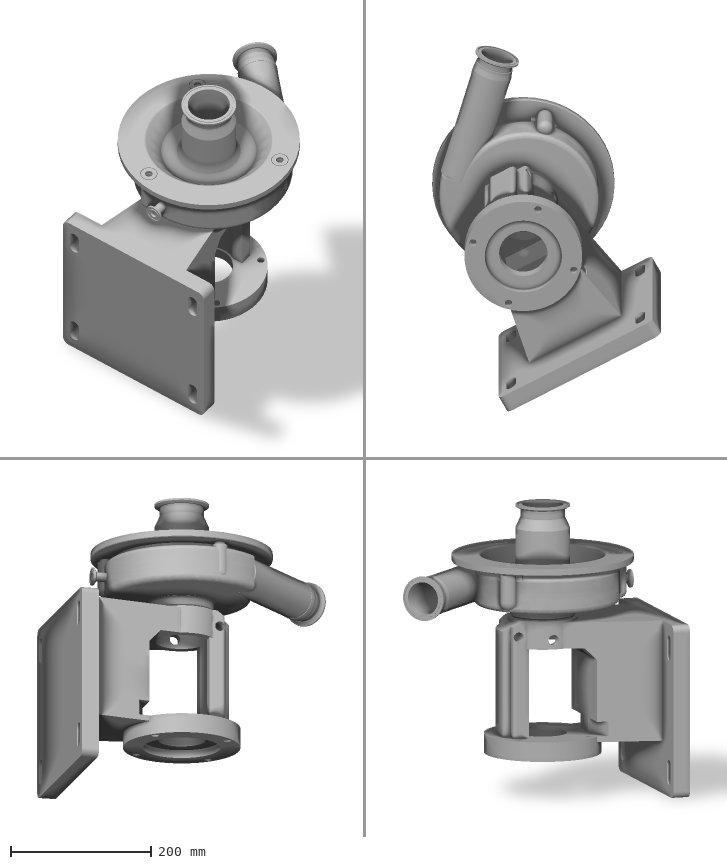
import cadquery as cq
import math

TOP_Z = 415.0
SEAM_ANGLE = 225.0
DISCHARGE_SEAM_ANGLE = -90.0
OVERLAP = 1.0

PLATE_SIDE = 250.0
PLATE_THICKNESS = 25.0
PLATE_BACK_Y = -180.0
PLATE_FRONT_Y = PLATE_BACK_Y + PLATE_THICKNESS
PLATE_CORNER_RADIUS = 10.0
SLOT_WIDTH = 16.0
SLOT_HEIGHT = 36.0
SLOT_PITCH_X = 210.0
SLOT_PITCH_Z = 180.0

ADAPTER_RADIUS = 50.5
ADAPTER_BOTTOM_Z = 212.5
ADAPTER_TOP_Z = 253.0
CAVITY_RADIUS = 37.5
CAVITY_TOP_Z = 243.0
SIDE_HOLE_DIAMETER = 15.0
SIDE_HOLE_Z = 226.0

RING_RADIUS = 84.0
RING_BORE_RADIUS = 34.5
SPIGOT_RADIUS = 55.0
SPIGOT_DEPTH = 11.5
RING_BOTTOM_Z = 56.0
RING_TOP_Z = 84.0
RING_BOLT_RADIUS = 75.0
RING_BOLT_DIAMETER = 10.5
RING_BOLT_START_ANGLE = 45.0
RING_BOLT_COUNT = 4

WEB_ROOT_HALF_WIDTH = 75.0
WEB_TIP_HALF_WIDTH = 48.5
WEB_TIP_Y = -14.0
WEB_INNER_Y = -62.5
WEB_CHAMFER = 17.5
WEB_BOTTOM_Z = 76.0
NOTCH_DEPTH_Y = 16.2
NOTCH_HEIGHT = 21.5
NOTCH_REACH_X = 43.0

LEG_HALF_WIDTH = 35.0
LEG_FRONT_Y = 32.0
LEG_SHOULDER_Y = 55.5
LEG_BACK_Y = 66.0
LEG_RIB_HALF_WIDTH = 20.0
LEG_CORNER_RADIUS = 5.5
LEG_CHAMFER_Y = 22.5
LEG_CHAMFER_Z = 17.0
LEG_HOLE_DIAMETER = 14.0
LEG_HOLE_Y = 47.3
LEG_HOLE_Z = 230.0

VOLUTE_START_ANGLE = 45.0
VOLUTE_START_RADIUS = 96.5
VOLUTE_GROWTH = 24.0
VOLUTE_STEPS = 24
CASING_TOP_Z = 325.5
CASING_BOTTOM_Z = 274.5
CASING_TOP_FILLET = 6.5
CASING_BOTTOM_FILLET = 7.5
CONE_OUTER_RADIUS = 125.0
HUB_RADIUS = 46.5
HUB_FLARE = 3.5
HUB_TOP_Z = 268.0
HUB_CHAMFER = 2.0
HUB_CHAMFER_Z = 256.2
NECK_RADIUS = 97.0

COVER_RADIUS = 130.0
COVER_THICKNESS = 10.0
COVER_TOP_Z = 343.0
COVER_BOTTOM_Z = COVER_TOP_Z - COVER_THICKNESS
COVER_EDGE_CHAMFER = 1.0
FUNNEL_RADIUS = 91.0
FUNNEL_FLOOR_RADIUS = 68.0
FUNNEL_DEPTH = 22.5
FUNNEL_RIM_WIDTH = 1.8

SUCTION_RADIUS = 39.0
SUCTION_NECK_RADIUS = 31.8
SUCTION_BORE_RADIUS = 30.0
SUCTION_BORE_BOTTOM_Z = 283.0
SUCTION_TAPER_BOTTOM_Z = 381.5
SUCTION_TAPER_TOP_Z = 397.0
SUCTION_ROOT_WIDTH = 6.3
SUCTION_ROOT_HEIGHT = 12.0

FERRULE_RIM = 2.8
FERRULE_TAPER = 2.7
FERRULE_STEP = 4.5
GROOVE_WIDTH = 2.0
GROOVE_DEPTH = 1.0

PORT_Z = 300.0
DISCHARGE_OFFSET = 94.5
DISCHARGE_END = 191.5
DISCHARGE_RADIUS = 28.0
DISCHARGE_BORE_RADIUS = 24.0
DISCHARGE_FLANGE_RADIUS = 32.0
DISCHARGE_NECK_RADIUS = 25.4
SLEEVE_RADIUS = 28.5
BEAD_RADIUS = 27.0
SLEEVE_START = 158.0
SLEEVE_END = 165.0
SLEEVE_TAPER_END = 173.0
BEAD_END = 177.0

DRAIN_END_Y = -132.7
DRAIN_RADIUS = 6.7
DRAIN_BORE_RADIUS = 5.2
DRAIN_FLANGE_RADIUS = 13.0
DRAIN_BORE_DEPTH = 35.0

SCREW_CIRCLE_RADIUS = 109.0
SCREW_ANGLES = (15.0, 135.0, 255.0)
SCREW_HEAD_RADIUS = 11.5
SCREW_GAP = 0.8
SCREW_GAP_DEPTH = 3.0
SOCKET_RADIUS = 5.5
SOCKET_DEPTH = 4.0
SOCKET_TIP_RADIUS = 0.5
SOCKET_TIP_DEPTH = 3.5
BOSS_RADIUS = 11.0
BOSS_BOTTOM_Z = 278.0
BOSS_TOP_Z = 329.3
BOSS_END_FILLET = 10.8
SPACER_RADIUS = 8.0
PAD_RADIUS = 105.0
PAD_HALF_ANGLE = 10.3


def cylinder(radius, bottom, top):
    return cq.Workplane("XY").workplane(offset=bottom).circle(radius).extrude(top - bottom)


def revolved(outline, seam_angle=SEAM_ANGLE):
    """Turn an (r, z) outline about Z, with its seam at the seam angle."""
    body = outline.close().revolve(360, (0, 0, 0), (0, 1, 0))
    return body.rotate((0, 0, 0), (0, 0, 1), seam_angle)


def ferrule_points(flange_radius, neck_radius, end):
    """Outline of a clamp ferrule from the neck out to its end face, ending on the axis."""
    rim_start = end - FERRULE_RIM
    groove_outer = flange_radius - FERRULE_STEP / 2
    groove_inner = groove_outer - GROOVE_WIDTH
    return [
        (neck_radius, rim_start - FERRULE_TAPER),
        (flange_radius - FERRULE_STEP, rim_start - FERRULE_TAPER),
        (flange_radius, rim_start),
        (flange_radius, end),
        (groove_outer, end),
        (groove_outer, end - GROOVE_DEPTH),
        (groove_inner, end - GROOVE_DEPTH),
        (groove_inner, end),
        (0, end),
    ]


def make_plate():
    plate = (
        cq.Workplane("XZ", origin=(0, PLATE_FRONT_Y, PLATE_SIDE / 2))
        .rect(PLATE_SIDE, PLATE_SIDE)
        .extrude(PLATE_THICKNESS)
        .edges("|Y")
        .fillet(PLATE_CORNER_RADIUS)
    )
    slots = (
        cq.Workplane("XZ", origin=(0, PLATE_FRONT_Y, PLATE_SIDE / 2))
        .rect(SLOT_PITCH_X, SLOT_PITCH_Z, forConstruction=True)
        .vertices()
        .slot2D(SLOT_HEIGHT, SLOT_WIDTH, 90)
        .extrude(PLATE_THICKNESS)
    )
    return plate.cut(slots)


def web_half_width(y):
    slope = (WEB_ROOT_HALF_WIDTH - WEB_TIP_HALF_WIDTH) / (WEB_TIP_Y - PLATE_FRONT_Y)
    return WEB_TIP_HALF_WIDTH + slope * (WEB_TIP_Y - y)


def make_web():
    plan = (
        cq.Workplane("XY")
        .moveTo(-WEB_ROOT_HALF_WIDTH, PLATE_FRONT_Y)
        .lineTo(WEB_ROOT_HALF_WIDTH, PLATE_FRONT_Y)
        .lineTo(WEB_TIP_HALF_WIDTH, WEB_TIP_Y)
        .lineTo(-WEB_TIP_HALF_WIDTH, WEB_TIP_Y)
        .close()
        .extrude(PLATE_SIDE)
    )
    profile = (
        cq.Workplane("YZ")
        .moveTo(PLATE_FRONT_Y, WEB_BOTTOM_Z)
        .lineTo(WEB_INNER_Y, WEB_BOTTOM_Z)
        .lineTo(WEB_INNER_Y, ADAPTER_BOTTOM_Z - WEB_CHAMFER)
        .lineTo(WEB_INNER_Y + WEB_CHAMFER, ADAPTER_BOTTOM_Z)
        .lineTo(WEB_TIP_Y, ADAPTER_BOTTOM_Z)
        .lineTo(WEB_TIP_Y, PLATE_SIDE)
        .lineTo(PLATE_FRONT_Y, PLATE_SIDE)
        .close()
        .extrude(WEB_ROOT_HALF_WIDTH, both=True)
    )
    return plan.intersect(profile)


def make_notches():
    """Clearances above the ring for the two bolts beside the web."""
    back_y = WEB_INNER_Y - NOTCH_DEPTH_Y
    back_x = web_half_width(back_y)
    notch = (
        cq.Workplane("XY", origin=(0, 0, RING_TOP_Z))
        .moveTo(-back_x, back_y)
        .lineTo(-back_x, WEB_INNER_Y)
        .lineTo(-back_x + NOTCH_REACH_X, WEB_INNER_Y)
        .close()
        .extrude(NOTCH_HEIGHT)
    )
    return notch.union(notch.mirror("YZ"))


def make_leg():
    leg = (
        cq.Workplane("XY", origin=(0, 0, RING_TOP_Z - OVERLAP))
        .moveTo(-LEG_HALF_WIDTH, LEG_FRONT_Y)
        .lineTo(LEG_HALF_WIDTH, LEG_FRONT_Y)
        .lineTo(LEG_HALF_WIDTH, LEG_SHOULDER_Y)
        .lineTo(LEG_RIB_HALF_WIDTH, LEG_SHOULDER_Y)
        .lineTo(LEG_RIB_HALF_WIDTH, LEG_BACK_Y)
        .lineTo(-LEG_RIB_HALF_WIDTH, LEG_BACK_Y)
        .lineTo(-LEG_RIB_HALF_WIDTH, LEG_SHOULDER_Y)
        .lineTo(-LEG_HALF_WIDTH, LEG_SHOULDER_Y)
        .close()
        .extrude(ADAPTER_TOP_Z - RING_TOP_Z + OVERLAP)
    )
    behind_shoulder = cq.selectors.BoxSelector(
        (-LEG_HALF_WIDTH - OVERLAP, LEG_SHOULDER_Y - OVERLAP, 0),
        (LEG_HALF_WIDTH + OVERLAP, LEG_BACK_Y + OVERLAP, ADAPTER_TOP_Z),
    )
    inner_corners = cq.selectors.BoxSelector(
        (-LEG_RIB_HALF_WIDTH - OVERLAP, LEG_SHOULDER_Y - OVERLAP, 0),
        (LEG_RIB_HALF_WIDTH + OVERLAP, LEG_SHOULDER_Y + OVERLAP, ADAPTER_TOP_Z),
    )
    leg = leg.edges("|Z").edges(behind_shoulder - inner_corners).fillet(LEG_CORNER_RADIUS)
    corner = (
        cq.Workplane("YZ")
        .moveTo(LEG_BACK_Y, ADAPTER_TOP_Z)
        .lineTo(LEG_BACK_Y - LEG_CHAMFER_Y, ADAPTER_TOP_Z)
        .lineTo(LEG_BACK_Y, ADAPTER_TOP_Z - LEG_CHAMFER_Z)
        .close()
        .extrude(LEG_HALF_WIDTH, both=True)
    )
    return leg.cut(corner)


def make_bracket():
    ring = cylinder(RING_RADIUS, RING_BOTTOM_Z, RING_TOP_Z)
    adapter = cylinder(ADAPTER_RADIUS, ADAPTER_BOTTOM_Z, ADAPTER_TOP_Z)
    body = make_plate().union(make_web()).union(make_leg()).union(adapter).union(ring)
    cavity = cylinder(CAVITY_RADIUS, RING_TOP_Z, CAVITY_TOP_Z)
    ring_bore = cylinder(RING_BORE_RADIUS, RING_BOTTOM_Z, RING_TOP_Z)
    spigot = cylinder(SPIGOT_RADIUS, RING_BOTTOM_Z, RING_BOTTOM_Z + SPIGOT_DEPTH)
    ring_bolts = (
        cq.Workplane("XY", origin=(0, 0, RING_BOTTOM_Z))
        .polarArray(RING_BOLT_RADIUS, RING_BOLT_START_ANGLE, 360, RING_BOLT_COUNT)
        .circle(RING_BOLT_DIAMETER / 2)
        .extrude(RING_TOP_Z - RING_BOTTOM_Z)
    )
    side_hole = (
        cq.Workplane("YZ", origin=(0, 0, SIDE_HOLE_Z))
        .circle(SIDE_HOLE_DIAMETER / 2)
        .extrude(-ADAPTER_RADIUS)
    )
    leg_hole = (
        cq.Workplane("YZ", origin=(0, LEG_HOLE_Y, LEG_HOLE_Z))
        .circle(LEG_HOLE_DIAMETER / 2)
        .extrude(LEG_HALF_WIDTH, both=True)
    )
    for opening in (cavity, ring_bore, spigot, ring_bolts, side_hole, leg_hole, make_notches()):
        body = body.cut(opening)
    return body


def volute_point(turn):
    """Point of the spiral outline; turn runs from 0 to 1 over one revolution."""
    angle = math.radians(VOLUTE_START_ANGLE + 360 * turn)
    radius = VOLUTE_START_RADIUS + VOLUTE_GROWTH * turn
    return (radius * math.cos(angle), radius * math.sin(angle))


def make_spiral(bottom, top):
    later_points = [volute_point(step / VOLUTE_STEPS) for step in range(1, VOLUTE_STEPS + 1)]
    return (
        cq.Workplane("XY", origin=(0, 0, bottom))
        .moveTo(*volute_point(0))
        .spline(later_points, includeCurrent=True)
        .close()
        .extrude(top - bottom)
    )


def make_casing():
    spiral = make_spiral(ADAPTER_TOP_Z, CASING_TOP_Z)
    bowl = revolved(
        cq.Workplane("XZ")
        .moveTo(0, HUB_TOP_Z)
        .lineTo(HUB_RADIUS, HUB_TOP_Z)
        .lineTo(CONE_OUTER_RADIUS, CASING_BOTTOM_Z)
        .lineTo(CONE_OUTER_RADIUS, CASING_TOP_Z)
        .lineTo(0, CASING_TOP_Z)
    )
    casing = spiral.intersect(bowl)
    casing = casing.faces(">Z").edges("%BSPLINE").fillet(CASING_TOP_FILLET)
    lower_rim = cq.selectors.BoxSelector(
        (-CONE_OUTER_RADIUS, -CONE_OUTER_RADIUS, HUB_TOP_Z + OVERLAP),
        (CONE_OUTER_RADIUS, CONE_OUTER_RADIUS, CASING_BOTTOM_Z + OVERLAP),
    )
    casing = casing.edges("%BSPLINE").edges(lower_rim).fillet(CASING_BOTTOM_FILLET)
    hub = revolved(
        cq.Workplane("XZ")
        .moveTo(0, ADAPTER_TOP_Z)
        .lineTo(HUB_RADIUS - HUB_CHAMFER, ADAPTER_TOP_Z)
        .lineTo(HUB_RADIUS - HUB_CHAMFER, HUB_CHAMFER_Z - HUB_CHAMFER)
        .lineTo(HUB_RADIUS, HUB_CHAMFER_Z)
        .lineTo(HUB_RADIUS, HUB_TOP_Z - HUB_FLARE)
        .radiusArc((HUB_RADIUS + HUB_FLARE, HUB_TOP_Z), HUB_FLARE)
        .lineTo(HUB_RADIUS + HUB_FLARE, HUB_TOP_Z + OVERLAP)
        .lineTo(0, HUB_TOP_Z + OVERLAP)
    )
    return casing.union(hub).union(cylinder(NECK_RADIUS, CASING_TOP_Z - OVERLAP, COVER_BOTTOM_Z))


def make_cover():
    disc = cylinder(COVER_RADIUS, COVER_BOTTOM_Z, COVER_TOP_Z)
    disc = disc.faces("<Z").edges().chamfer(COVER_EDGE_CHAMFER)
    return disc.rotate((0, 0, 0), (0, 0, 1), SEAM_ANGLE)


def make_funnel():
    """Cutter for the conical recess, with a rounded rim."""
    floor_z = COVER_TOP_Z - FUNNEL_DEPTH
    slope_angle = math.atan2(FUNNEL_DEPTH, FUNNEL_RADIUS - FUNNEL_FLOOR_RADIUS)
    rim_radius = FUNNEL_RIM_WIDTH / math.tan(slope_angle / 2)
    rim_start = (
        FUNNEL_RADIUS - FUNNEL_RIM_WIDTH * math.cos(slope_angle),
        COVER_TOP_Z - FUNNEL_RIM_WIDTH * math.sin(slope_angle),
    )
    return revolved(
        cq.Workplane("XZ")
        .moveTo(0, floor_z)
        .lineTo(FUNNEL_FLOOR_RADIUS, floor_z)
        .lineTo(*rim_start)
        .radiusArc((FUNNEL_RADIUS + FUNNEL_RIM_WIDTH, COVER_TOP_Z), rim_radius)
        .lineTo(0, COVER_TOP_Z)
    )


def make_suction_pipe():
    floor_z = COVER_TOP_Z - FUNNEL_DEPTH
    root_radius = (SUCTION_ROOT_WIDTH**2 + SUCTION_ROOT_HEIGHT**2) / (2 * SUCTION_ROOT_WIDTH)
    outline = (
        cq.Workplane("XZ")
        .moveTo(0, floor_z - OVERLAP)
        .lineTo(SUCTION_RADIUS + SUCTION_ROOT_WIDTH, floor_z - OVERLAP)
        .lineTo(SUCTION_RADIUS + SUCTION_ROOT_WIDTH, floor_z)
        .radiusArc((SUCTION_RADIUS, floor_z + SUCTION_ROOT_HEIGHT), root_radius)
        .lineTo(SUCTION_RADIUS, SUCTION_TAPER_BOTTOM_Z)
        .lineTo(SUCTION_NECK_RADIUS, SUCTION_TAPER_TOP_Z)
    )
    for point in ferrule_points(SUCTION_RADIUS, SUCTION_NECK_RADIUS, TOP_Z):
        outline = outline.lineTo(*point)
    return revolved(outline)


def along_discharge(body):
    """Move a body turned about Z so that its axis lies on the discharge axis."""
    lying = body.rotate((0, 0, 0), (1, 0, 0), -90).translate((DISCHARGE_OFFSET, 0, PORT_Z))
    return lying.rotate((0, 0, 0), (0, 0, 1), VOLUTE_START_ANGLE)


def make_discharge_pipe():
    outline = (
        cq.Workplane("XZ")
        .moveTo(0, 0)
        .lineTo(DISCHARGE_RADIUS, 0)
        .lineTo(DISCHARGE_RADIUS, SLEEVE_START)
        .lineTo(SLEEVE_RADIUS, SLEEVE_START)
        .lineTo(SLEEVE_RADIUS, SLEEVE_END)
        .lineTo(BEAD_RADIUS, SLEEVE_TAPER_END)
        .lineTo(BEAD_RADIUS, BEAD_END)
        .lineTo(DISCHARGE_NECK_RADIUS, BEAD_END)
    )
    for point in ferrule_points(DISCHARGE_FLANGE_RADIUS, DISCHARGE_NECK_RADIUS, DISCHARGE_END):
        outline = outline.lineTo(*point)
    return along_discharge(revolved(outline, seam_angle=DISCHARGE_SEAM_ANGLE))


def make_drain():
    outline = (
        cq.Workplane("XZ")
        .moveTo(0, VOLUTE_START_RADIUS)
        .lineTo(DRAIN_RADIUS, VOLUTE_START_RADIUS)
    )
    for point in ferrule_points(DRAIN_FLANGE_RADIUS, DRAIN_RADIUS, -DRAIN_END_Y):
        outline = outline.lineTo(*point)
    drain = revolved(outline)
    return drain.rotate((0, 0, 0), (1, 0, 0), 90).translate((0, 0, PORT_Z))


def make_drain_bore():
    return (
        cq.Workplane("XZ", origin=(0, DRAIN_END_Y, PORT_Z))
        .circle(DRAIN_BORE_RADIUS)
        .extrude(-DRAIN_BORE_DEPTH)
    )


def make_boss():
    """Screw boss with spacer and wall pad, placed at angle 0."""
    boss = cylinder(BOSS_RADIUS, BOSS_BOTTOM_Z, BOSS_TOP_Z).faces("<Z").edges().fillet(BOSS_END_FILLET)
    spacer = cylinder(SPACER_RADIUS, BOSS_TOP_Z - OVERLAP, COVER_BOTTOM_Z)
    post = boss.union(spacer).translate((SCREW_CIRCLE_RADIUS, 0, 0))
    tip = (
        PAD_RADIUS * math.cos(math.radians(PAD_HALF_ANGLE)),
        PAD_RADIUS * math.sin(math.radians(PAD_HALF_ANGLE)),
    )
    pad = (
        cq.Workplane("XY", origin=(0, 0, CASING_TOP_Z - CASING_TOP_FILLET))
        .moveTo(0, 0)
        .lineTo(tip[0], -tip[1])
        .threePointArc((PAD_RADIUS, 0), tip)
        .close()
        .extrude(BOSS_TOP_Z - CASING_TOP_Z + CASING_TOP_FILLET)
    )
    return post.union(pad)


def make_screw_recess():
    """Gap round a sunk screw head and its drive socket, placed at angle 0."""
    gap = (
        cq.Workplane("XY", origin=(SCREW_CIRCLE_RADIUS, 0, COVER_TOP_Z))
        .circle(SCREW_HEAD_RADIUS + SCREW_GAP)
        .circle(SCREW_HEAD_RADIUS)
        .extrude(-SCREW_GAP_DEPTH)
    )
    socket = (
        cq.Workplane("XY", origin=(SCREW_CIRCLE_RADIUS, 0, COVER_TOP_Z))
        .circle(SOCKET_RADIUS)
        .extrude(-SOCKET_DEPTH)
        .faces("<Z")
        .workplane()
        .circle(SOCKET_RADIUS)
        .workplane(offset=SOCKET_TIP_DEPTH)
        .circle(SOCKET_TIP_RADIUS)
        .loft()
    )
    return gap.union(socket)


def make_pump():
    pump = make_casing().union(make_cover())
    pump = pump.union(make_discharge_pipe()).union(make_drain())
    for angle in SCREW_ANGLES:
        pump = pump.union(make_boss().rotate((0, 0, 0), (0, 0, 1), angle))
        pump = pump.cut(make_screw_recess().rotate((0, 0, 0), (0, 0, 1), angle))
    pump = pump.cut(make_funnel())
    pump = pump.union(make_suction_pipe())
    suction_bore = cylinder(SUCTION_BORE_RADIUS, SUCTION_BORE_BOTTOM_Z, TOP_Z)
    discharge_bore = along_discharge(cylinder(DISCHARGE_BORE_RADIUS, 0, DISCHARGE_END))
    return pump.cut(suction_bore).cut(discharge_bore).cut(make_drain_bore())


result = make_bracket().union(make_pump())